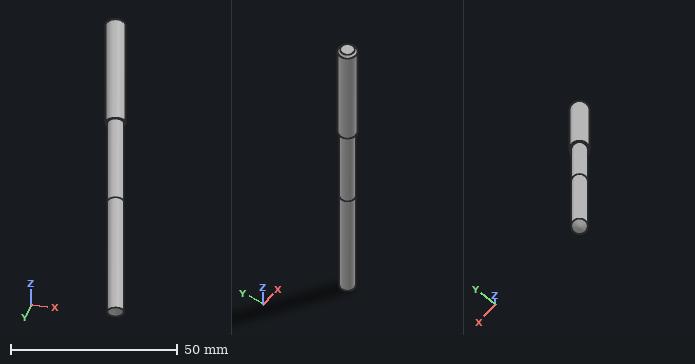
import cadquery as cq

total_length = 104.0
shank_diameter = 6.0
neck_diameter = 5.0

shank_bottom = 68.1
joint_height = 40.0

shank_chamfer = 0.8
tip_height = 0.7


def make_shank():
    """Chamfered grip cylinder with a thinner neck below it."""
    neck = (
        cq.Workplane("XY")
        .workplane(offset=joint_height)
        .circle(neck_diameter / 2)
        .extrude(shank_bottom - joint_height)
    )
    grip = (
        cq.Workplane("XY")
        .workplane(offset=shank_bottom)
        .circle(shank_diameter / 2)
        .extrude(total_length - shank_bottom)
        .faces(">Z")
        .chamfer(shank_chamfer)
    )
    return grip.union(neck)


def make_cutter():
    """Cylinder of neck diameter that ends in a shallow conical point."""
    radius = neck_diameter / 2
    return (
        cq.Workplane("XZ")
        .moveTo(0, 0)
        .lineTo(radius, tip_height)
        .lineTo(radius, joint_height)
        .lineTo(0, joint_height)
        .close()
        .revolve(360, (0, 0, 0), (0, 1, 0))
    )


shank = make_shank()
cutter = make_cutter()

result = cq.Compound.makeCompound([shank.val(), cutter.val()])